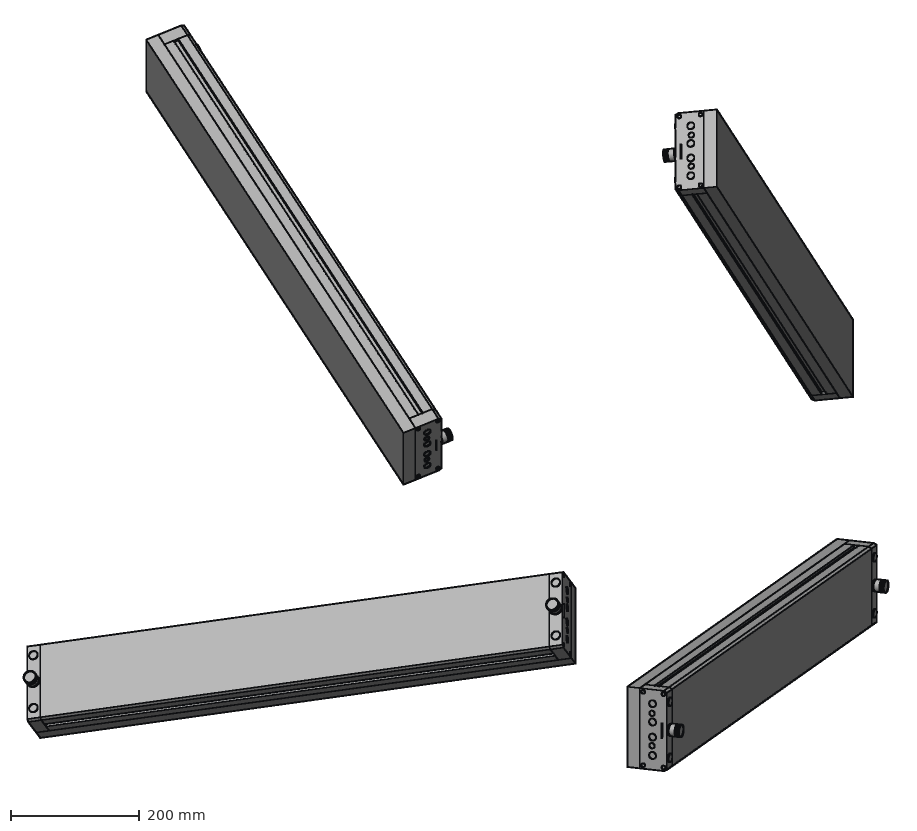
import cadquery as cq


length = 874.0
height = 130.0
depth = 86.5

panel_thickness = 21.0
housing_back = 66.0
cap_width = 21.4
back_chamfer_depth = 5.0
back_chamfer_height = 3.0

slot_center_y = 41.0
slot_width = 8.0
slot_depth = 4.0

hole_depth = 2.0
corner_hole_diameter = 6.0
corner_hole_z = 59.0
corner_hole_ys = (26.0, 60.0)
large_port_y = 42.0
large_port_diameter = 11.0
large_port_zs = (12.0, 42.0)
small_port_diameter = 9.0
small_port_y = 41.0
small_port_z = 26.0

groove_y = 58.0
groove_length = 24.0
groove_width = 1.3
groove_depth = 2.0

screw_diameter = 14.0
screw_height = 2.0
screw_z = 45.5

connector_inset = 10.5
neck_diameter = 18.0
neck_length = 3.0
nut_diameter = 20.0
ring_groove_diameter = 18.0
ring_groove_width = 1.3
ring_groove_pitch = 3.0
ring_groove_count = 3


def housing_profile(x_start, x_length):
    """Box behind the panel with chamfered back edges, extruded along +X."""
    top = height / 2
    chamfer_start = housing_back - back_chamfer_depth
    chamfer_end = top - back_chamfer_height
    return (
        cq.Workplane("YZ", origin=(x_start, 0, 0))
        .polyline([
            (panel_thickness, -top),
            (chamfer_start, -top),
            (housing_back, -chamfer_end),
            (housing_back, chamfer_end),
            (chamfer_start, top),
            (panel_thickness, top),
        ])
        .close()
        .extrude(x_length)
    )


def make_panel():
    return cq.Workplane("XY").box(length, panel_thickness, height).translate((0, panel_thickness / 2, 0))


def make_rail():
    rail_length = length - 2 * cap_width
    rail = housing_profile(-rail_length / 2, rail_length)
    slot = cq.Workplane("XY").box(rail_length, slot_width, 2 * slot_depth)
    for side in (-1, 1):
        rail = rail.cut(slot.translate((0, slot_center_y, side * height / 2)))
    return rail


def y_cylinder(diameter, y_start, y_length, x, z):
    """Cylinder along +Y."""
    return cq.Workplane("XZ", origin=(x, y_start, z)).circle(diameter / 2).extrude(-y_length)


def make_connector(x):
    nut_start = housing_back + neck_length
    connector = y_cylinder(neck_diameter, housing_back, neck_length, x, 0)
    connector = connector.union(y_cylinder(nut_diameter, nut_start, depth - nut_start, x, 0))
    for index in range(ring_groove_count):
        groove_start = depth - (index + 1) * ring_groove_pitch
        ring = y_cylinder(nut_diameter, groove_start, ring_groove_width, x, 0)
        core = y_cylinder(ring_groove_diameter, groove_start, ring_groove_width, x, 0)
        connector = connector.cut(ring.cut(core))
    return connector


def cap_face_cutters():
    """Blind holes and groove of the left cap's outer face, joined as one cutter."""
    holes = []
    for side in (-1, 1):
        for y in corner_hole_ys:
            holes.append((corner_hole_diameter, y, side * corner_hole_z))
        for z in large_port_zs:
            holes.append((large_port_diameter, large_port_y, side * z))
        holes.append((small_port_diameter, small_port_y, side * small_port_z))
    face = cq.Workplane("YZ", origin=(-length / 2, 0, 0))
    cutters = face.center(groove_y, 0).rect(groove_width, groove_length).extrude(groove_depth)
    for diameter, y, z in holes:
        face = cq.Workplane("YZ", origin=(-length / 2, y, z))
        cutters = cutters.add(face.circle(diameter / 2).extrude(hole_depth))
    return cutters.combine()


def make_left_cap():
    connector_x = -length / 2 + connector_inset
    cap = housing_profile(-length / 2, cap_width).cut(cap_face_cutters())
    for side in (-1, 1):
        cap = cap.union(y_cylinder(screw_diameter, housing_back, screw_height, connector_x, side * screw_z))
    return cap.union(make_connector(connector_x))


panel = make_panel()
rail = make_rail()
left_cap = make_left_cap()
end_caps = [left_cap, left_cap.mirror("YZ")]
bodies = [panel, rail, *end_caps]

result = cq.Compound.makeCompound([body.solids().val() for body in bodies])